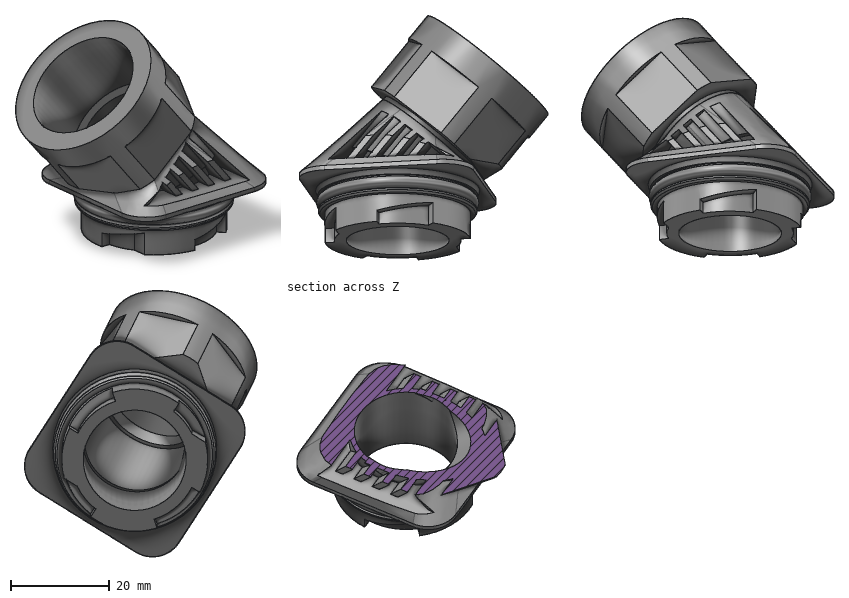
import cadquery as cq
import math

TILT = 40.0
HEIGHT = 46.2
SPIGOT_R = 14.85
PLATE_SIDE = 36.0
DEPTH = 48.8

LOWER_COLLAR_Z = (5.7, 6.15, 6.5)
LOWER_COLLAR_R = (15.8, 16.15)
GROOVE_R = 14.45
UPPER_GROOVE_R = 15.75
UPPER_COLLAR_Z = 9.4
UPPER_COLLAR_R = (16.3, 16.7)
RING_Z = 8.05
RING_MAJOR_R = 15.3
RING_MINOR_R = 1.15
SPIGOT_BORE_R = 10.45

PLATE_BOTTOM = 10.55
PLATE_TOP = 11.45
PLATE_CORNER_R = 6.4

SOCKET_R = 15.85
SOCKET_BORE_R = 11.65
SOCKET_BORE_DEPTH = 16.35
SOCKET_LENGTH = 18.15
HEX_START = 6.1
HEX_ACROSS_FLATS = 29.1
NECK_R = 12.05
NECK_END = 19.1
THROAT_R = 9.45

RELIEF_OUTER = (-21.45, 14.55)
RELIEF_INNER = (-16.1, 14.15)

HOOD_TOP_R = 12.15

ELBOW_R = 11.6
CROWN_R = 13.05
MITRE_Z = 14.55
WINDOW_FLOOR = 13.0
RIB_FACE_X = 14.4
SLOT_TOP_DEPTH = 21.15
SLOT_COUNT = 5
SLOT_WIDTH = 2.0
SLOT_PITCH = 3.25
FIRST_SLOT_EDGE = 7.9

NOTCH_FLOOR_R = 12.9
WIDE_RAMP = ((-1.4, 2.35), (9.5, 4.35))
NARROW_RAMP = ((1.25, 3.0), (10.15, 4.75))
NARROW_NOTCH_WALL = 10.85

CLEAR = 29.25

SIN = math.sin(math.radians(TILT))
COS = math.cos(math.radians(TILT))
FACE_Y = PLATE_SIDE / 2 - DEPTH + SOCKET_R * COS
FACE_Z = HEIGHT - SOCKET_R * SIN
CORNER_DEPTH = -FACE_Y / SIN


def socket_plane(depth):
    """Workplane across the socket axis: local X is X, local Y rises to +Y and +Z."""
    origin = (0, FACE_Y + depth * SIN, FACE_Z - depth * COS)
    return cq.Workplane(cq.Plane(origin=origin, xDir=(1, 0, 0), normal=(0, -SIN, COS)))


def socket_cylinder(radius, start, end):
    return socket_plane(end).circle(radius).extrude(end - start)


def vertical_cylinder(radius, bottom, top):
    return cq.Workplane("XY").workplane(offset=bottom).circle(radius).extrude(top - bottom)


def quarter_turns(x, y, turns):
    """Point (x, y) turned counterclockwise about the origin by whole quarter turns."""
    for _ in range(turns):
        x, y = -y, x
    return x, y


def on_hood_top(eighths):
    """Point on the round top of the hood, counted in eighths of a turn from local X."""
    angle = eighths * math.pi / 4
    return HOOD_TOP_R * math.cos(angle), HOOD_TOP_R * math.sin(angle)


def above_mitre():
    """Space over the slanting plane where the upright and leaning legs of the elbow meet."""
    plane = cq.Workplane("XY", origin=(0, 0, MITRE_Z)).transformed(rotate=(TILT / 2, 0, 0))
    return plane.rect(4 * CLEAR, 4 * CLEAR).extrude(2 * CLEAR)


def upright_leg(radius, bottom):
    """Lower leg of the elbow, up the Z axis to the mitre plane."""
    return vertical_cylinder(radius, bottom, MITRE_Z + CLEAR).cut(above_mitre())


def make_spigot():
    """Turned spigot with two collars, a groove and the sealing ring in it."""
    lower_bottom, lower_middle, lower_top = LOWER_COLLAR_Z
    ring_lower_z = RING_Z - math.sqrt(RING_MINOR_R**2 - (RING_MAJOR_R - GROOVE_R) ** 2)
    ring_upper_z = RING_Z + math.sqrt(RING_MINOR_R**2 - (UPPER_GROOVE_R - RING_MAJOR_R) ** 2)
    to_ring = [
        (SPIGOT_R, 0),
        (SPIGOT_R, lower_bottom),
        (LOWER_COLLAR_R[0], lower_bottom),
        (LOWER_COLLAR_R[1], lower_middle),
        (LOWER_COLLAR_R[1], lower_top),
        (GROOVE_R, lower_top),
        (GROOVE_R, ring_lower_z),
    ]
    from_ring = [
        (UPPER_GROOVE_R, UPPER_COLLAR_Z),
        (UPPER_COLLAR_R[0], UPPER_COLLAR_Z),
        (UPPER_COLLAR_R[1], PLATE_BOTTOM),
        (0, PLATE_BOTTOM),
    ]
    profile = cq.Workplane("XZ").polyline(to_ring, includeCurrent=True)
    profile = profile.threePointArc((RING_MAJOR_R + RING_MINOR_R, RING_Z), (UPPER_GROOVE_R, ring_upper_z))
    profile = profile.polyline(from_ring, includeCurrent=True).close()
    return profile.revolve(360, (0, 0), (0, 1))


def make_notch(ramp, plan):
    """Ramped notch on the -Y side: plan outline under a sloping roof, outside the floor radius."""
    (low_x, low_z), (high_x, high_z) = ramp
    roof = [(low_x, 0), (high_x, 0), (high_x, high_z), (low_x, low_z)]
    under_roof = cq.Workplane("XZ").polyline(roof).close().extrude(CLEAR)
    column = cq.Workplane("XY").polyline(plan).close().extrude(high_z)
    return under_roof.intersect(column).cut(vertical_cylinder(NOTCH_FLOOR_R, 0, high_z))


def make_narrow_notch():
    left, right = NARROW_RAMP[0][0], NARROW_RAMP[1][0]
    inner, outer = -NARROW_NOTCH_WALL, -CLEAR
    return make_notch(NARROW_RAMP, [(left, inner), (left, outer), (right, outer), (right, inner)])


def make_wide_notch():
    """The high end of this notch stops at a wall that points at the Z axis."""
    left, right = WIDE_RAMP[0][0], WIDE_RAMP[1][0]
    wall_slope = right / math.sqrt(SPIGOT_R**2 - right**2)
    return make_notch(WIDE_RAMP, [(left, 0), (left, -CLEAR), (CLEAR * wall_slope, -CLEAR), (0, 0)])


def make_hood():
    """Plate and the tapered hood that leans from it to the neck."""
    plate = cq.Workplane("XY").workplane(offset=PLATE_BOTTOM).rect(PLATE_SIDE, PLATE_SIDE)
    plate = plate.extrude(PLATE_TOP - PLATE_BOTTOM).edges("|Z").fillet(PLATE_CORNER_R)

    half = PLATE_SIDE / 2
    flat = half - PLATE_CORNER_R
    middle = flat + PLATE_CORNER_R * math.sqrt(0.5)
    bottom = cq.Workplane("XY").workplane(offset=PLATE_TOP).moveTo(half, -flat)
    top = socket_plane(NECK_END).moveTo(*on_hood_top(-0.5))
    for side in range(4):
        bottom = bottom.lineTo(*quarter_turns(half, flat, side))
        corner_end = quarter_turns(flat, half, side)
        bottom = bottom.threePointArc(quarter_turns(middle, middle, side), corner_end)
        for eighth in (2 * side, 2 * side + 1):
            top = top.threePointArc(on_hood_top(eighth), on_hood_top(eighth + 0.5))
    hood = cq.Solid.makeLoft([bottom.close().wire().val(), top.close().wire().val()], True)
    return plate.union(cq.Workplane(hood))


def cut_windows(hood):
    """Open both sides of the hood: recessed ribs with slots between them, down to the inner elbow.

    The leaning leg of the elbow is round below its axis and has flat sides under a wider round crown above it.
    """
    above_floor = cq.Workplane("XY").workplane(offset=WINDOW_FLOOR)
    above_floor = above_floor.rect(2 * CLEAR, 2 * CLEAR).extrude(CLEAR)

    recess = socket_plane(0).center(0, FIRST_SLOT_EDGE - CLEAR)
    recess = recess.rect(2 * CLEAR, 2 * CLEAR).extrude(-2 * CLEAR)
    core = cq.Workplane("XY").rect(2 * RIB_FACE_X, 4 * CLEAR).extrude(2 * CLEAR)
    cutters = recess.cut(core)

    for index in range(SLOT_COUNT):
        top_edge = FIRST_SLOT_EDGE - index * SLOT_PITCH
        is_last = index == SLOT_COUNT - 1
        width = CLEAR if is_last else SLOT_WIDTH
        slot = socket_plane(SLOT_TOP_DEPTH).center(0, top_edge - width / 2)
        cutters = cutters.union(slot.rect(2 * CLEAR, width).extrude(-CLEAR))

    shoulder = math.sqrt(CROWN_R**2 - ELBOW_R**2)
    leaning_leg = (
        socket_plane(NECK_END)
        .moveTo(ELBOW_R, 0)
        .lineTo(ELBOW_R, shoulder)
        .threePointArc((0, CROWN_R), (-ELBOW_R, shoulder))
        .lineTo(-ELBOW_R, 0)
        .threePointArc((0, -ELBOW_R), (ELBOW_R, 0))
        .close()
        .extrude(-CLEAR)
        .intersect(above_mitre())
    )
    cutters = cutters.intersect(above_floor).cut(leaning_leg)
    return hood.cut(cutters.cut(upright_leg(ELBOW_R, PLATE_BOTTOM)))


def make_socket():
    """Round mouth, hexagonal grip and short neck along the tilted axis."""
    body = socket_cylinder(SOCKET_R, 0, SOCKET_LENGTH)
    hexagon = socket_plane(SOCKET_LENGTH)
    hexagon = hexagon.polygon(6, HEX_ACROSS_FLATS, circumscribed=True).extrude(SOCKET_LENGTH - HEX_START)
    sleeve = socket_cylinder(2 * SOCKET_R, HEX_START, SOCKET_LENGTH).cut(hexagon)
    slope = (RELIEF_OUTER[1] - RELIEF_INNER[1]) / (RELIEF_OUTER[0] - RELIEF_INNER[0])
    relief_z = RELIEF_INNER[1] - slope * RELIEF_INNER[0]
    relief = [(0, 0), (0, relief_z), (-CLEAR, relief_z - slope * CLEAR), (-CLEAR, 0)]
    body = body.cut(sleeve).cut(cq.Workplane("YZ").polyline(relief).close().extrude(CLEAR, both=True))
    return body.union(socket_cylinder(NECK_R, SOCKET_LENGTH, NECK_END))


def make_bore():
    """Wide mouth, narrower throat and the vertical bore they run into."""
    mouth = socket_cylinder(SOCKET_BORE_R, 0, SOCKET_BORE_DEPTH)
    throat = socket_cylinder(THROAT_R, SOCKET_BORE_DEPTH, CORNER_DEPTH)
    upright = upright_leg(SPIGOT_BORE_R, 0)
    crossing = socket_cylinder(SPIGOT_BORE_R, NECK_END, CORNER_DEPTH + CLEAR).intersect(above_mitre())
    crossing = crossing.intersect(vertical_cylinder(SPIGOT_BORE_R, 0, CLEAR))
    return mouth.union(throat).union(upright).union(crossing)


spigot = make_spigot()
for turn in (0, 180):
    spigot = spigot.cut(make_narrow_notch().rotate((0, 0, 0), (0, 0, 1), turn))
    spigot = spigot.cut(make_wide_notch().rotate((0, 0, 0), (0, 0, 1), turn + 90))

result = cut_windows(make_hood()).union(make_socket()).union(spigot).cut(make_bore())